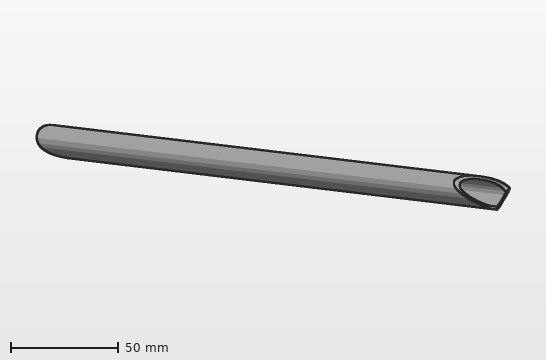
import cadquery as cq
import math

tube_radius = 7.3
wall = 1.5
saddle_radius = 11.7
axis_run = 309.5
tilt = 23.1
saddle_span = 161.5
post_radius = 10.5
post_x = 152.5

lean = math.radians(tilt)
outward = cq.Vector(0, -math.sin(lean), math.cos(lean))
half_axis = cq.Vector(axis_run / 2, 0, 0) + outward * (saddle_span / 2)
overrun = 1.4


def make_tube():
    """Straight round tube centred on the origin, long enough to be trimmed at both ends."""
    start = half_axis * -overrun
    plane = cq.Plane(origin=start.toTuple(), normal=half_axis.toTuple())
    length = 2 * half_axis.Length * overrun
    return cq.Workplane(plane).circle(tube_radius).circle(tube_radius - wall).extrude(length)


def make_saddle_cutter(side):
    """Cylinder along X, widened outward so that everything past the saddle is removed."""
    length = 2 * axis_run
    cutter = cq.Workplane("YZ").circle(saddle_radius).extrude(length / 2, both=True)
    beyond = cq.Workplane("XY").box(
        length, 2 * saddle_radius, saddle_span, centered=(True, True, False)
    )
    cutter = cutter.union(beyond).translate((0, 0, saddle_span / 2))
    if side < 0:
        cutter = cutter.rotate((0, 0, 0), (1, 0, 0), 180)
    return cutter.rotate((0, 0, 0), (1, 0, 0), tilt)


def make_post_cutter():
    """Post that notches the +X tip of the tube, widened along X past its axis."""
    overhang = axis_run / 4
    post = cq.Workplane("XY").circle(post_radius).extrude(saddle_span, both=True)
    beyond = cq.Workplane("XY").box(
        overhang, 2 * post_radius, 2 * saddle_span, centered=(False, True, True)
    )
    cutter = post.union(beyond).translate((post_x, 0, 0))
    return cutter.rotate((0, 0, 0), (1, 0, 0), tilt)


result = make_tube().cut(make_post_cutter())
for side in (-1, 1):
    result = result.cut(make_saddle_cutter(side))